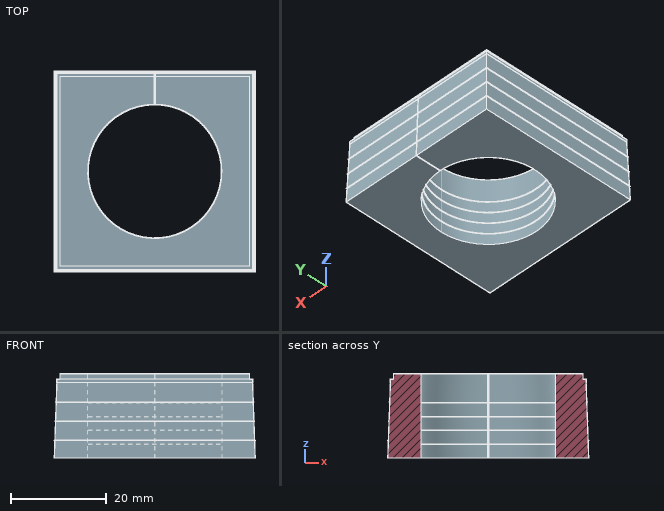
import cadquery as cq
import math

base_width = 42.0
height = 17.7
draft_angle = 2.0

lip_bottom = 15.8
lip_top = 16.5
lip_width = 41.0
pad_width = 39.6

rib_width = 0.13
rib_projection = 0.13
outer_rib_count = 3
first_outer_rib = 3.75
outer_rib_pitch = 4.0
bore_rib_count = 4
bore_rib_pitch = 2.9

bore_diameter = 28.0
slit_width = 0.13


def side_half_width(z):
    """Distance from the axis to a drafted side at height z."""
    return base_width / 2 - z * math.tan(math.radians(draft_angle))


def square_prism(bottom_z, top_z, width):
    """Square block centred on the Z axis between two heights."""
    return cq.Workplane("XY", origin=(0, 0, bottom_z)).rect(width, width).extrude(top_z - bottom_z)


def square_frustum(bottom_z, bottom_half, top_z, top_half):
    """Tapered square block between two heights, sized by its half widths."""
    return (
        cq.Workplane("XY", origin=(0, 0, bottom_z))
        .rect(2 * bottom_half, 2 * bottom_half)
        .workplane(offset=top_z - bottom_z)
        .rect(2 * top_half, 2 * top_half)
        .loft(ruled=True)
    )


def outer_rib(z):
    """Slice of the block whose sides rise to a V-shaped crest at height z."""
    low = z - rib_width / 2
    high = z + rib_width / 2
    crest_half = side_half_width(z) + rib_projection
    lower_slope = square_frustum(low, side_half_width(low), z, crest_half)
    upper_slope = square_frustum(z, crest_half, high, side_half_width(high))
    return lower_slope.union(upper_slope)


def bore_cutter():
    """Revolved bore whose outline is notched inward at each rib."""
    radius = bore_diameter / 2
    outline = cq.Workplane("XZ").lineTo(radius, 0)
    for index in range(bore_rib_count):
        z = (index + 1) * bore_rib_pitch
        outline = (
            outline.lineTo(radius, z - rib_width / 2)
            .lineTo(radius - rib_projection, z)
            .lineTo(radius, z + rib_width / 2)
        )
    outline = outline.lineTo(radius, height).lineTo(0, height).close()
    return outline.revolve(360, (0, 0, 0), (0, 1, 0))


body = square_frustum(0, base_width / 2, lip_bottom, side_half_width(lip_bottom))
body = body.union(square_prism(lip_bottom, lip_top, lip_width))
body = body.union(square_prism(lip_top, height, pad_width))
for rib_index in range(outer_rib_count):
    body = body.union(outer_rib(first_outer_rib + rib_index * outer_rib_pitch))

body = body.cut(bore_cutter())

slit = cq.Workplane("XY").box(slit_width, base_width / 2, height, centered=(True, False, False))
result = body.cut(slit)